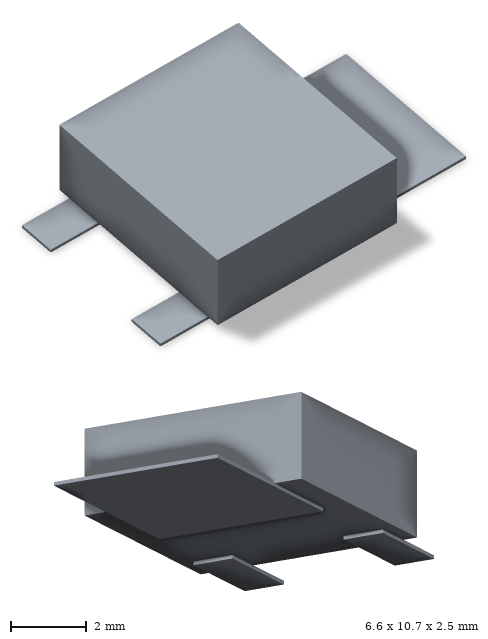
import cadquery as cq

total_length = 10.72
lead_exposed = 1.61
tab_exposed = 3.01
housing_length = total_length - lead_exposed - tab_exposed
housing_width = 6.6

total_height = 2.5
sheet_thickness = 0.1
housing_height = total_height - sheet_thickness

tab_width = 5.0
tab_length = 5.55
lead_width = 1.2
lead_length = 2.7
lead_pitch = 4.58

front_end = -total_length / 2
back_end = total_length / 2


def make_block(width, length, height, center_x, front_y, bottom_z):
    """Rectangular block centred on center_x, starting at front_y and bottom_z."""
    return (
        cq.Workplane("XY")
        .box(width, length, height, centered=(True, False, False))
        .translate((center_x, front_y, bottom_z))
    )


def make_housing():
    """Plain moulded housing resting on the metal parts."""
    front_y = front_end + lead_exposed
    return make_block(housing_width, housing_length, housing_height, 0, front_y, sheet_thickness)


def make_tab():
    """Wide flat tab that runs from the back end to part way under the housing."""
    return make_block(tab_width, tab_length, sheet_thickness, 0, back_end - tab_length, 0)


def make_lead(center_x):
    """Narrow flat lead that runs from the front end to under the housing."""
    return make_block(lead_width, lead_length, sheet_thickness, center_x, front_end, 0)


housing = make_housing()
tab = make_tab()
leads = [make_lead(side * lead_pitch / 2) for side in (-1, 1)]

result = cq.Compound.makeCompound([housing.val(), tab.val(), *[lead.val() for lead in leads]])